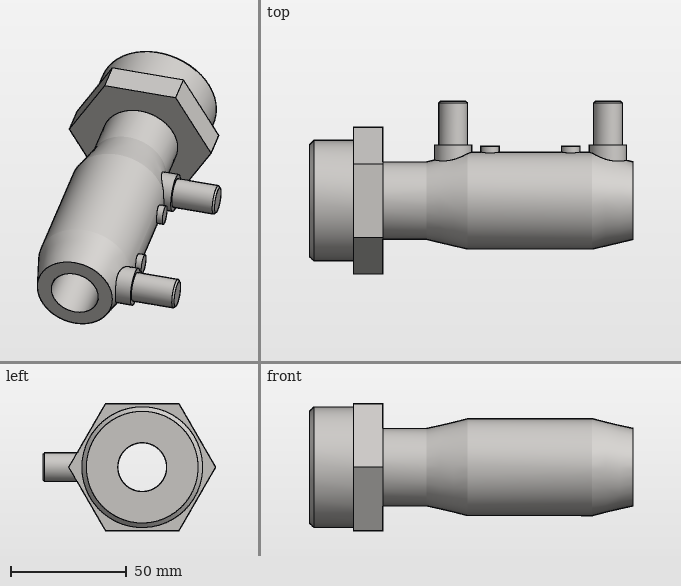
import cadquery as cq
import math

total_length = 140.0
total_width = 74.8
head_length = 19.0
hex_end = 31.8
neck_end = 50.7
body_start = 68.5
body_end = 122.4

head_diameter = 52.2
head_chamfer = 2.0
hex_across_flats = 55.0
neck_diameter = 33.6
body_diameter = 42.0
bore_diameter = 21.0

terminal_places = (62.2, 129.1)
collar_diameter = 16.2
collar_top = 24.1
pin_diameter = 12.6
pin_top = total_width - hex_across_flats / math.sqrt(3)
pin_chamfer = 0.8
stud_places = (78.1, 113.0)
stud_diameter = 8.1
stud_top = 23.5


def post(x, diameter, top):
    """Round post along +Y, rooted inside the wall of the tube."""
    root = bore_diameter / 2
    plane = cq.Workplane("XZ", origin=(x, root, 0))
    return plane.circle(diameter / 2).extrude(root - top)


def tube_body():
    """Turned head, neck and tapered barrel."""
    head_radius = head_diameter / 2
    neck_radius = neck_diameter / 2
    body_radius = body_diameter / 2
    profile = [
        (0, 0),
        (0, head_radius - head_chamfer),
        (head_chamfer, head_radius),
        (head_length, head_radius),
        (head_length, neck_radius),
        (neck_end, neck_radius),
        (body_start, body_radius),
        (body_end, body_radius),
        (total_length, neck_radius),
        (total_length, 0),
    ]
    return cq.Workplane("XY").polyline(profile).close().revolve(360, (0, 0, 0), (1, 0, 0))


def hexagon():
    """Hexagonal flange with corners on the Y axis and flats facing Z."""
    plane = cq.Workplane("YZ", origin=(head_length, 0, 0))
    across_corners = hex_across_flats * 2 / math.sqrt(3)
    return plane.polygon(6, across_corners).extrude(hex_end - head_length)


def terminal(x):
    """Pin with a chamfered tip standing in a wider collar."""
    pin = post(x, pin_diameter, pin_top).faces(">Y").chamfer(pin_chamfer)
    return post(x, collar_diameter, collar_top).union(pin)


result = tube_body().union(hexagon())
for place in terminal_places:
    result = result.union(terminal(place))
for place in stud_places:
    result = result.union(post(place, stud_diameter, stud_top))

bore = cq.Workplane("YZ").circle(bore_diameter / 2).extrude(total_length)
result = result.cut(bore)